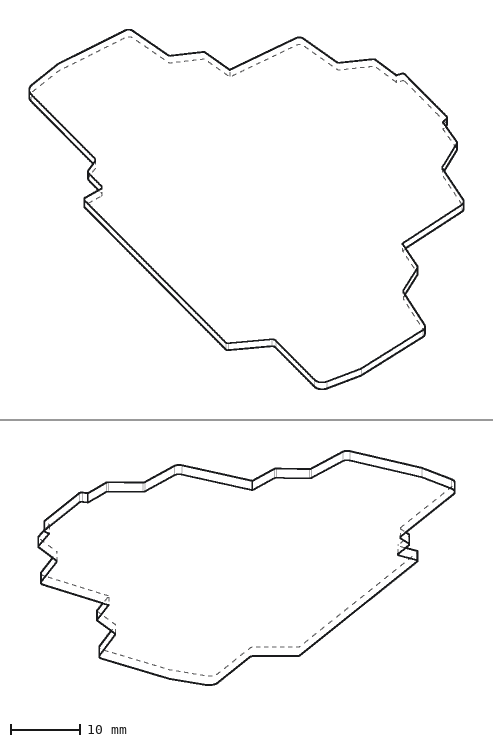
import cadquery as cq

width = 73.1
height = 51.5
thickness = 1.5
half_width = width / 2

shoulder_y = 6.0
notch_y = 3.6

lower_wing_radius = 1.45
upper_wing_radius = 0.9
step_radius = 0.4
foot_radius = 0.6
sharp = 0.0

stepped_edge = [
    (5.3, height, step_radius),
    (5.6, 50.4, sharp),
    (10.0, 49.75, step_radius),
    (12.6, 45.1, step_radius),
    (19.95, 43.8, upper_wing_radius),
    (20.8, 31.8, sharp),
    (25.8, 30.9, step_radius),
    (28.2, 26.4, step_radius),
    (35.9, 24.9, upper_wing_radius),
    (half_width, 12.65, sharp),
    (35.4, shoulder_y, lower_wing_radius),
]

foot_edge = [
    (-18.5, shoulder_y, foot_radius),
    (-17.4, notch_y, foot_radius),
    (-13.6, notch_y, step_radius),
    (-13.6, 0, step_radius),
    (21.05, 0, step_radius),
    (24.5, shoulder_y, foot_radius),
]


def round_corner(plate, x, y, radius):
    """Round the upright edge standing at (x, y)."""
    corner = cq.selectors.NearestToPointSelector((x, y, thickness / 2))
    return plate.edges("|Z").edges(corner).fillet(radius)


left_side = [(-x, y, radius) for x, y, radius in stepped_edge]
right_side = list(reversed(stepped_edge))
outline = left_side + foot_edge + right_side

result = cq.Workplane("XY").polyline([(x, y) for x, y, _ in outline]).close().extrude(thickness)

for corner_x, corner_y, corner_radius in outline:
    if corner_radius > 0:
        result = round_corner(result, corner_x, corner_y, corner_radius)